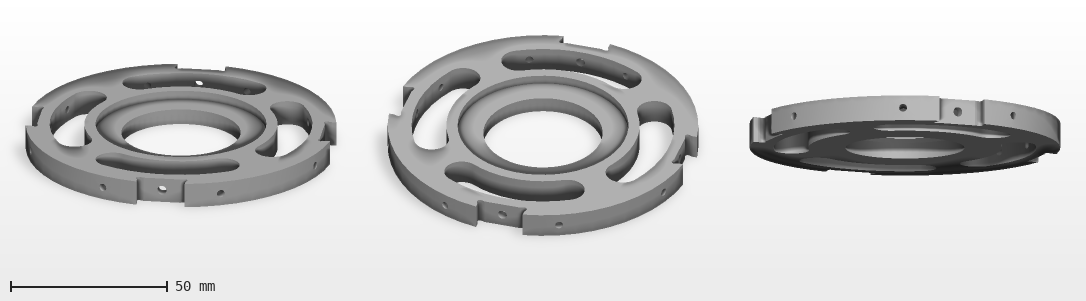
import cadquery as cq
import math

outer_radius = 49.5
thickness = 8.0
bore_diameter = 38.0
recess_diameter = 54.45
recess_depth = 3.0

slot_count = 4
slot_spacing = 360.0 / slot_count
first_slot_angle = slot_spacing / 2
slot_path_radius = 36.3
slot_end_radius = 5.5
slot_half_angle = 28.9

notch_width = 15.5
notch_floor_radius = 45.4
relief_radius = 0.9
relief_inset = 0.45
relief_taper_length = 1.9

notch_hole_diameter = 3.0
rim_hole_diameter = 2.5
rim_hole_offset_angle = slot_spacing / 4


def polar_point(radius, angle):
    """Return the XY point at a radius and an angle in degrees."""
    radians = math.radians(angle)
    return (radius * math.cos(radians), radius * math.sin(radians))


def make_ring():
    """Flat ring with a bore and a shallow recess in its top face."""
    ring = cq.Workplane("XY").circle(outer_radius).extrude(thickness)
    ring = ring.faces(">Z").workplane().cboreHole(bore_diameter, recess_diameter, recess_depth)
    return ring


def make_slot():
    """Arc-shaped slot cutter centred on the +X axis."""
    inner_radius = slot_path_radius - slot_end_radius
    far_radius = slot_path_radius + slot_end_radius
    cap_radius = math.hypot(slot_path_radius, slot_end_radius)
    cap_angle = slot_half_angle + math.degrees(math.atan2(slot_end_radius, slot_path_radius))
    return (
        cq.Workplane("XY")
        .moveTo(*polar_point(far_radius, -slot_half_angle))
        .threePointArc((far_radius, 0), polar_point(far_radius, slot_half_angle))
        .threePointArc(polar_point(cap_radius, cap_angle), polar_point(inner_radius, slot_half_angle))
        .threePointArc((inner_radius, 0), polar_point(inner_radius, -slot_half_angle))
        .threePointArc(polar_point(cap_radius, -cap_angle), polar_point(far_radius, -slot_half_angle))
        .close()
        .extrude(thickness)
    )


def make_corner_relief():
    """Undercut at the +Y floor corner: a round with tangent tapers from the floor and the wall."""
    corner_x = notch_floor_radius
    corner_y = notch_width / 2
    center_x = corner_x + relief_inset
    center_y = corner_y - relief_inset
    round_cutter = cq.Workplane("XY").center(center_x, center_y).circle(relief_radius).extrude(thickness)

    run = relief_taper_length - relief_inset
    center_angle = math.atan2(relief_inset, run)
    center_distance = math.hypot(run, relief_inset)
    taper_angle = math.asin(relief_radius / center_distance) - center_angle
    tangent_length = math.sqrt(center_distance**2 - relief_radius**2)
    along = relief_taper_length - tangent_length * math.cos(taper_angle)
    depth = tangent_length * math.sin(taper_angle)

    tapers = (
        cq.Workplane("XY")
        .polyline([
            (corner_x, corner_y - relief_taper_length),
            (corner_x - depth, corner_y - along),
            (center_x, center_y),
            (corner_x + along, corner_y + depth),
            (corner_x + relief_taper_length, corner_y),
            (corner_x + relief_taper_length, corner_y - relief_taper_length),
        ])
        .close()
        .extrude(thickness)
    )
    return round_cutter.union(tapers)


def make_notch():
    """Rim notch cutter on the +X axis, with an undercut in each floor corner."""
    depth = outer_radius - notch_floor_radius
    notch = (
        cq.Workplane("XY", origin=(notch_floor_radius, 0, 0))
        .box(depth, notch_width, thickness, centered=(False, True, False))
    )
    relief = make_corner_relief()
    return notch.union(relief).union(relief.mirror("XZ"))


def make_radial_hole(diameter, angle):
    """Mid-height hole cutter from the slot centreline out through the rim."""
    hole = (
        cq.Workplane("YZ", origin=(slot_path_radius, 0, thickness / 2))
        .circle(diameter / 2)
        .extrude(outer_radius - slot_path_radius)
    )
    return hole.rotate((0, 0, 0), (0, 0, 1), angle)


segment_cutters = [
    make_slot(),
    make_notch(),
    make_radial_hole(notch_hole_diameter, 0),
    make_radial_hole(rim_hole_diameter, -rim_hole_offset_angle),
    make_radial_hole(rim_hole_diameter, rim_hole_offset_angle),
]

result = make_ring()
for index in range(slot_count):
    segment_angle = first_slot_angle + index * slot_spacing
    for cutter in segment_cutters:
        result = result.cut(cutter.rotate((0, 0, 0), (0, 0, 1), segment_angle))